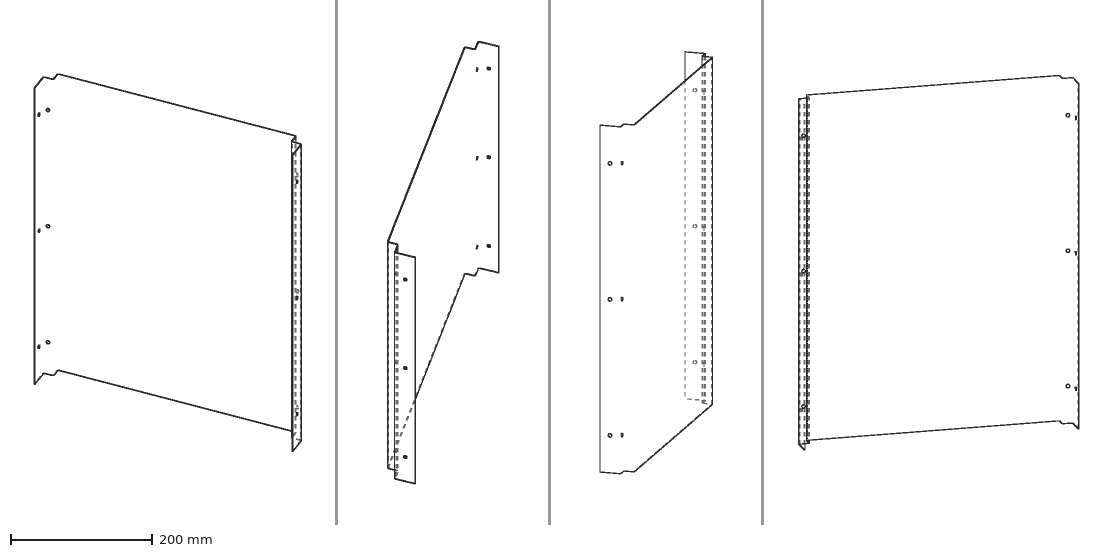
import cadquery as cq

width = 403.0
depth = 46.5
height = 510.0

thickness = 1.5
inner_radius = 1.5
outer_radius = inner_radius + thickness

ledge_width = 15.5
step_depth = 15.5

hole_diameter = 5.0
hole_pitch = 200.0
ledge_hole_inset = 7.5
lip_hole_inset = 15.0

back_y = depth / 2
front_y = -depth / 2
ledge_back_y = back_y - step_depth
lip_outer_x = width / 2
web_outer_x = lip_outer_x - ledge_width


def box_between(x_min, x_max, y_min, y_max):
    """Full-height block spanning the given X and Y limits."""
    return (
        cq.Workplane("XY", origin=(0, 0, -height / 2))
        .moveTo((x_min + x_max) / 2, (y_min + y_max) / 2)
        .rect(x_max - x_min, y_max - y_min)
        .extrude(height)
    )


def vertical_edge(x, y):
    """Selector for the vertical edge through the given X and Y position."""
    return cq.selectors.NearestToPointSelector((x, y, 0))


def make_folded_sheet():
    """Panel with a stepped ledge and a forward lip along both sides."""
    panel = box_between(-web_outer_x, web_outer_x, back_y - thickness, back_y)
    sheet = panel
    for side in (-1, 1):
        lip_x = sorted((side * lip_outer_x, side * (lip_outer_x - thickness)))
        web_x = sorted((side * web_outer_x, side * (web_outer_x - thickness)))
        ledge_x = sorted((side * lip_outer_x, side * (web_outer_x - thickness)))
        lip = box_between(*lip_x, front_y, ledge_back_y)
        ledge = box_between(*ledge_x, ledge_back_y - thickness, ledge_back_y)
        web = box_between(*web_x, ledge_back_y - thickness, back_y)
        sheet = sheet.union(web).union(ledge).union(lip)
    return sheet.clean()


def round_bends(sheet):
    """Round the convex and concave edges of every fold."""
    ledge_front_y = ledge_back_y - thickness
    lip_inner_x = lip_outer_x - thickness
    web_inner_x = web_outer_x - thickness
    for side in (-1, 1):
        bends = (
            (web_outer_x, back_y, outer_radius),
            (web_inner_x, back_y - thickness, inner_radius),
            (web_outer_x, ledge_back_y, inner_radius),
            (web_inner_x, ledge_front_y, outer_radius),
            (lip_outer_x, ledge_back_y, outer_radius),
            (lip_inner_x, ledge_front_y, inner_radius),
        )
        for x, y, radius in bends:
            sheet = sheet.edges("|Z").edges(vertical_edge(side * x, y)).fillet(radius)
    return sheet


def make_hole_cutters():
    """Pins for three holes through each ledge and three through each lip."""
    hole_heights = [-hole_pitch, 0, hole_pitch]
    ledge_hole_x = lip_outer_x - ledge_hole_inset
    lip_hole_y = front_y + lip_hole_inset
    ledge_points = [(side * ledge_hole_x, z) for side in (-1, 1) for z in hole_heights]
    lip_points = [(lip_hole_y, z) for z in hole_heights]
    ledge_pins = (
        cq.Workplane("XZ")
        .pushPoints(ledge_points)
        .circle(hole_diameter / 2)
        .extrude(depth, both=True)
    )
    lip_pins = (
        cq.Workplane("YZ")
        .pushPoints(lip_points)
        .circle(hole_diameter / 2)
        .extrude(width, both=True)
    )
    return ledge_pins.union(lip_pins)


result = round_bends(make_folded_sheet()).cut(make_hole_cutters())